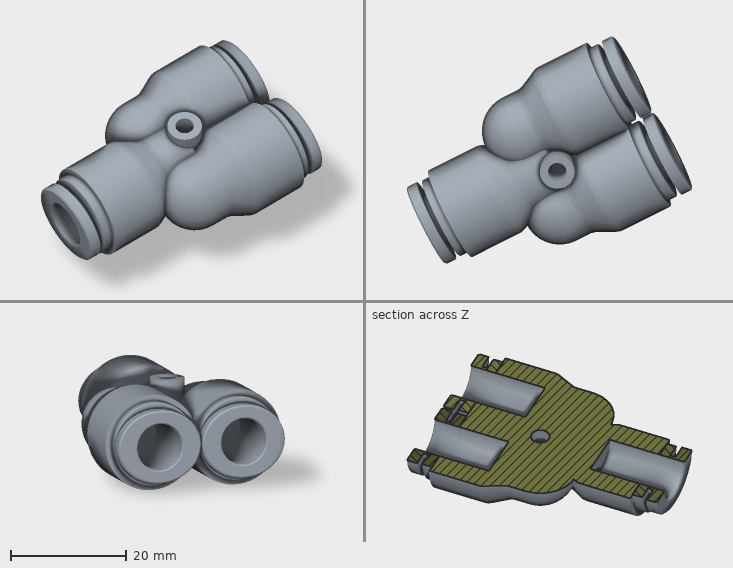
import cadquery as cq


total_length = 44.2
total_width = 32.3
face_offset = total_length / 2

arm_dia = 16.9
throat_dia = 12.9
cone_start = 14.6
cone_end = 18.6
cone_blend_radius = 2.0
rear_port_x = (total_width - arm_dia) / 2

boss_y = face_offset - cone_end
boss_dia = 6.0
boss_height = arm_dia
boss_hole_dia = 3.2
front_arm_end_fillet = 1.0

bore_dia = 8.2
flange_width = 15.1
flange_height = 12.9
flange_thickness = 2.0
flange_chamfer = 0.25
bore_mouth_chamfer = 0.2
neck_dia = 9.6
sleeve_length = 2.9
collar_dia = 14.7
collar_end = 4.7
collar_chamfer = 0.15
bore_end = 14.15


def port_plane(depth):
    """Plane of the -Y port at a distance inwards from its face, with +Z of the plane along +Y."""
    return cq.Workplane(cq.Plane(origin=(0, depth - face_offset, 0), xDir=(1, 0, 0), normal=(0, 1, 0)))


def at_rear_port(shape, side):
    """Turn a shape made for the -Y port to face +Y, and move it to one of the two rear ports."""
    return shape.rotate((0, 0, 0), (0, 0, 1), 180).translate((side * rear_port_x, 0, 0))


def at_all_ports(shape):
    """One copy of a port shape at each of the three ports."""
    return [shape] + [at_rear_port(shape, side) for side in (-1, 1)]


def make_arm(length):
    """Solid arm of the -Y port, from the housing mouth to a distance from the port face."""
    mouth_y = collar_end - face_offset
    cone_start_y = cone_start - face_offset
    cone_end_y = cone_end - face_offset
    inner_y = length - face_offset
    arm = (
        cq.Workplane("XY")
        .moveTo(0, mouth_y)
        .lineTo(arm_dia / 2, mouth_y)
        .lineTo(arm_dia / 2, cone_start_y)
        .lineTo(throat_dia / 2, cone_end_y)
        .lineTo(throat_dia / 2, inner_y)
        .lineTo(0, inner_y)
        .close()
        .revolve(360, (0, 0, 0), (0, 1, 0))
    )
    rims = arm.edges("%CIRCLE").sort(lambda edge: edge.Center().y)
    both_cone_edges = rims[1:3]
    return both_cone_edges.fillet(cone_blend_radius)


def make_housing():
    """Y-shaped body with a mounting boss and a tube socket in each port."""
    housing = make_arm(face_offset + boss_y).faces(">Y").edges().fillet(front_arm_end_fillet)

    rear_arm = make_arm(face_offset).union(port_plane(face_offset).sphere(throat_dia / 2))
    for side in (-1, 1):
        housing = housing.union(at_rear_port(rear_arm, side))

    boss_base = cq.Workplane("XY", origin=(0, boss_y, -boss_height / 2))
    housing = housing.union(boss_base.circle(boss_dia / 2).extrude(boss_height))
    housing = housing.cut(boss_base.circle(boss_hole_dia / 2).extrude(boss_height))

    socket = port_plane(collar_end).circle(bore_dia / 2).extrude(bore_end - collar_end)
    for port_socket in at_all_ports(socket):
        housing = housing.cut(port_socket)
    return housing


def make_collar():
    """Ring between the release sleeve and the housing mouth."""
    ring = port_plane(sleeve_length).circle(collar_dia / 2).extrude(collar_end - sleeve_length)
    ring = ring.faces("<Y").edges().chamfer(collar_chamfer)
    return ring.cut(port_plane(sleeve_length).circle(bore_dia / 2).extrude(collar_end - sleeve_length))


def make_sleeve():
    """Release sleeve: an oval flange on a round neck."""
    flange = port_plane(0).ellipse(flange_width / 2, flange_height / 2).extrude(flange_thickness)
    flange = flange.faces("<Y").edges().chamfer(flange_chamfer)
    neck = port_plane(flange_thickness).circle(neck_dia / 2).extrude(sleeve_length - flange_thickness)
    bore = port_plane(0).circle(bore_dia / 2).extrude(sleeve_length)
    sleeve = flange.union(neck).cut(bore)
    return sleeve.faces("<Y").edges("%CIRCLE").chamfer(bore_mouth_chamfer)


housing = make_housing()
collars = at_all_ports(make_collar())
sleeves = at_all_ports(make_sleeve())

result = cq.Compound.makeCompound(
    [housing.val()]
    + [collar.val() for collar in collars]
    + [sleeve.val() for sleeve in sleeves]
)